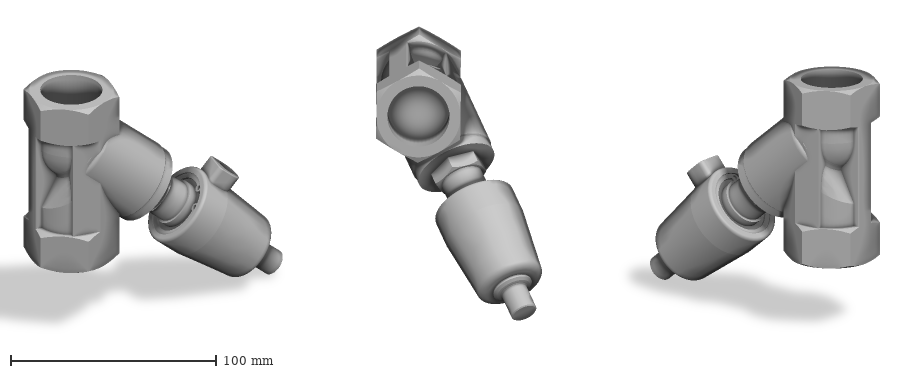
import cadquery as cq
import math

across_flats = 41.0
half_length = 45.24
nut_height = 20.0
nut_chamfer_angle = 30
bore_diameter = 30.3
bore_depth = 16.9

web_half_width = 19.1
web_front_y = -6.5
rib_half_width = 5.2
rib_edge_fillet = 0.7
tube_radius = 18.2
neck_radius = 19.3
waist_start = 0.3
waist_fillet = 4.0
outlet_slope_y = -6.5
outlet_slope_z = -7.3
outlet_slope_angle = 31

branch_angle = 40
branch_height = 17.64
branch_radius = across_flats / 2
branch_start = 4.3
branch_end_fillet = 2.6
collar_start = 44.0
collar_chamfer_length = 0.7
collar_radius = 19.9
bonnet_start = 49.6

bonnet_flats = 23.5
bonnet_hex_end = 56.5
stem_tube_radius = 21.0 / 2
gland_start = 69.1

gland_neck_radius = 23.5 / 2
gland_radius = 16.8
gland_depth = 5.2
housing_start = 71.5
housing_radius = across_flats / 2
housing_rim_fillet = 1.5
housing_cone_start = 86.6
housing_top_radius = 16.7
housing_end = 121.7
housing_top_fillet = 3.6
ring_recess = 0.8
ring_thickness = 1.2
ring_inner_radius = 14.3
ring_gap_middle = 135
ring_gap_angle = 43
lug_radius = 2.1
lug_hole_diameter = 2.5
lug_center_radius = 14.7

port_center = 82.5
port_half_width = 7.49
port_flat_end = 74.5
port_top = 28.0
port_corner_fillet = 2.3
port_rim_fillet = 0.5
port_hole_diameter = 8.6
port_hole_depth = 8.0

indicator_groove_radius = 9.8
indicator_groove_height = 0.7
indicator_base_radius = 10.0
indicator_base_height = 1.4
indicator_shoulder_radius = 8.6
indicator_shoulder_height = 2.6
indicator_foot_radius = 7.0
indicator_foot_height = 3.0
indicator_stem_radius = 6.5
indicator_stem_height = 3.5
indicator_end = 138.1
indicator_chamfer = 0.5

across_corners = across_flats * 2 / math.sqrt(3)
half_flats = across_flats / 2
nut_inner_z = half_length - nut_height
core_half_height = half_length - nut_height / 2
gland_face = housing_start + ring_recess + ring_thickness
gland_end = gland_face + gland_depth
branch_sin = math.sin(math.radians(branch_angle))
branch_cos = math.cos(math.radians(branch_angle))
branch_plane = cq.Plane(
    origin=(0, 0, branch_height), xDir=(-1, 0, 0), normal=(0, branch_cos, -branch_sin)
)


def on_branch(body):
    """Move a body built along the local Z axis onto the inclined branch axis."""
    return body.val().moved(branch_plane.location)


def revolved(points):
    """Revolve an outline of (radius, height) points about the local Z axis."""
    return cq.Workplane("XZ").polyline(points).close().revolve(360, (0, 0), (0, 1))


def chamfered_hexagon(height, flats, bottom_chamfer, top_chamfer):
    """Hexagonal prism with corners on the X axis and conical chamfers on its ends."""
    corner = flats / math.sqrt(3)
    drop = (corner - flats / 2) * math.tan(math.radians(nut_chamfer_angle))
    envelope = [(0, 0)]
    envelope += [(flats / 2, 0), (corner, drop)] if bottom_chamfer else [(corner, 0)]
    envelope += [(corner, height - drop), (flats / 2, height)] if top_chamfer else [(corner, height)]
    envelope.append((0, height))
    prism = cq.Workplane("XY").polygon(6, 2 * corner).extrude(height)
    return prism.intersect(revolved(envelope))


def web_core():
    """Hexagonal bar cut back to a cross web and a front rib between the ends."""
    hexagon = cq.Workplane("XY").polygon(6, across_corners).extrude(core_half_height, both=True)
    web = cq.Workplane("XY").box(
        2 * web_half_width, half_flats - web_front_y, 2 * core_half_height, centered=(True, False, True)
    ).translate((0, web_front_y, 0))
    rib = cq.Workplane("XY").box(
        2 * rib_half_width, half_flats, 2 * core_half_height, centered=(True, False, True)
    ).translate((0, -half_flats, 0))
    rib = rib.edges("|Z and <Y").fillet(rib_edge_fillet)
    return hexagon.intersect(web.union(rib))


def flow_tube():
    """Vertical tube with a domed inlet chamber, a waist and a sloping outlet shoulder."""
    inlet = cq.Workplane("XY").workplane(offset=branch_height).circle(tube_radius).extrude(
        core_half_height - branch_height
    )
    dome = cq.Workplane("XY").sphere(tube_radius).translate((0, 0, branch_height))
    bend = math.acos(1 - (neck_radius - tube_radius) / waist_fillet)
    waist_middle = (
        tube_radius + waist_fillet * (1 - math.cos(bend / 2)), waist_start + waist_fillet * math.sin(bend / 2)
    )
    neck_end = waist_start + waist_fillet * math.sin(bend)
    waist = (
        cq.Workplane("XZ").lineTo(tube_radius, 0).lineTo(tube_radius, waist_start)
        .threePointArc(waist_middle, (neck_radius, neck_end)).lineTo(0, neck_end)
        .close().revolve(360, (0, 0), (0, 1))
    )
    waist = cq.Workplane(on_branch(waist))
    slope = math.radians(outlet_slope_angle)
    slope_z = outlet_slope_z - outlet_slope_y * math.tan(slope)
    slope_plane = cq.Plane(
        origin=(0, 0, slope_z), xDir=(1, 0, 0), normal=(0, -math.sin(slope), math.cos(slope))
    )
    cutter_size = 2 * half_length
    outlet = (
        cq.Workplane("XY").workplane(offset=-core_half_height).circle(tube_radius).extrude(2 * core_half_height)
        .cut(cq.Workplane(slope_plane).rect(cutter_size, cutter_size).extrude(cutter_size))
    )
    waist_wire = cq.Wire.makeCircle(
        neck_radius, branch_plane.toWorldCoords((0, 0, neck_end)), branch_plane.zDir
    )
    slope_wire = cq.Workplane(slope_plane).ellipse(tube_radius, tube_radius / math.cos(slope)).val()
    shoulder = cq.Workplane(cq.Solid.makeLoft([waist_wire, slope_wire], True))
    return inlet.union(dome).union(waist).union(outlet).union(shoulder)


def branch():
    """Inclined cylinder with a rounded inner end and a slightly smaller collar."""
    outline = [
        (0, branch_start), (branch_radius, branch_start), (branch_radius, collar_start),
        (collar_radius, collar_start + collar_chamfer_length), (collar_radius, bonnet_start),
        (0, bonnet_start),
    ]
    return revolved(outline).faces("<Z").edges().fillet(branch_end_fillet)


def valve_body():
    nut = chamfered_hexagon(nut_height, across_flats, True, True)
    body = web_core().union(flow_tube())
    body = body.union(nut.translate((0, 0, nut_inner_z)))
    body = body.union(nut.translate((0, 0, -half_length)))
    body = body.union(cq.Workplane(on_branch(branch())))
    bore = cq.Workplane("XY").circle(bore_diameter / 2).extrude(bore_depth)
    body = body.cut(bore.translate((0, 0, half_length - bore_depth)))
    return body.cut(bore.translate((0, 0, -half_length)))


def bonnet():
    hexagon = chamfered_hexagon(bonnet_hex_end - bonnet_start, bonnet_flats, False, True)
    hexagon = hexagon.rotate((0, 0, 0), (0, 0, 1), 90)
    tube = cq.Workplane("XY").circle(stem_tube_radius).extrude(gland_start - bonnet_start)
    return hexagon.union(tube).translate((0, 0, bonnet_start))


def gland():
    return revolved([
        (0, gland_start), (gland_neck_radius, gland_start), (gland_neck_radius, gland_face),
        (gland_radius, gland_face), (gland_radius, gland_end), (0, gland_end),
    ])


def retaining_ring():
    """Open ring with a drilled lug at each side of its gap."""
    ring = cq.Workplane("XY").circle(gland_radius).circle(ring_inner_radius).extrude(ring_thickness)
    half_gap = math.radians(ring_gap_angle / 2)
    reach = 2 * gland_radius
    gap = (
        cq.Workplane("XY")
        .polyline([
            (0, 0), (reach * math.cos(half_gap), -reach * math.sin(half_gap)),
            (reach * math.cos(half_gap), reach * math.sin(half_gap)),
        ])
        .close().extrude(ring_thickness)
    )
    ring = ring.cut(gap)
    lugs = cq.Workplane("XY").polarArray(
        lug_center_radius, -ring_gap_angle / 2, ring_gap_angle, 2, fill=True
    )
    ring = ring.union(lugs.circle(lug_radius).extrude(ring_thickness))
    ring = ring.cut(lugs.circle(lug_hole_diameter / 2).extrude(ring_thickness))
    ring = ring.rotate((0, 0, 0), (0, 0, 1), ring_gap_middle)
    return ring.translate((0, 0, housing_start + ring_recess))


def air_port():
    """Block with one round end and one flat end that stands out of the housing."""
    plane = cq.Plane(origin=(0, 0, 0), xDir=(1, 0, 0), normal=(0, 1, 0))
    straight = port_center - port_flat_end
    block = (
        cq.Workplane(plane).center(0, -port_center)
        .moveTo(-port_half_width, 0)
        .lineTo(-port_half_width, straight)
        .lineTo(port_half_width, straight)
        .lineTo(port_half_width, 0)
        .threePointArc((0, -port_half_width), (-port_half_width, 0))
        .close().extrude(port_top)
    )
    block = block.edges("|Y and <Z").fillet(port_corner_fillet)
    return block.faces(">Y").edges().fillet(port_rim_fillet)


def housing():
    shell = revolved([
        (0, housing_start), (housing_radius, housing_start), (housing_radius, housing_cone_start),
        (housing_top_radius, housing_end), (0, housing_end),
    ])
    shell = shell.faces("<Z").edges().fillet(housing_rim_fillet)
    shell = shell.faces(">Z").edges().fillet(housing_top_fillet)
    shell = shell.union(air_port())
    socket = cq.Workplane("XY").circle(gland_radius).extrude(gland_end - housing_start)
    shell = shell.cut(socket.translate((0, 0, housing_start)))
    hole = cq.Workplane("XZ").center(0, port_center).circle(port_hole_diameter / 2)
    return shell.cut(hole.extrude(port_hole_depth).translate((0, port_top, 0)))


def indicator():
    stem = revolved([
        (0, housing_end),
        (indicator_groove_radius, housing_end),
        (indicator_groove_radius, housing_end + indicator_groove_height),
        (indicator_base_radius, housing_end + indicator_groove_height),
        (indicator_base_radius, housing_end + indicator_base_height),
        (indicator_shoulder_radius, housing_end + indicator_shoulder_height),
        (indicator_foot_radius, housing_end + indicator_foot_height),
        (indicator_stem_radius, housing_end + indicator_stem_height),
        (indicator_stem_radius, indicator_end),
        (0, indicator_end),
    ])
    return stem.faces(">Z").edges().chamfer(indicator_chamfer)


result = cq.Compound.makeCompound([
    valve_body().val(),
    on_branch(bonnet()),
    on_branch(gland()),
    on_branch(retaining_ring()),
    on_branch(housing()),
    on_branch(indicator()),
])